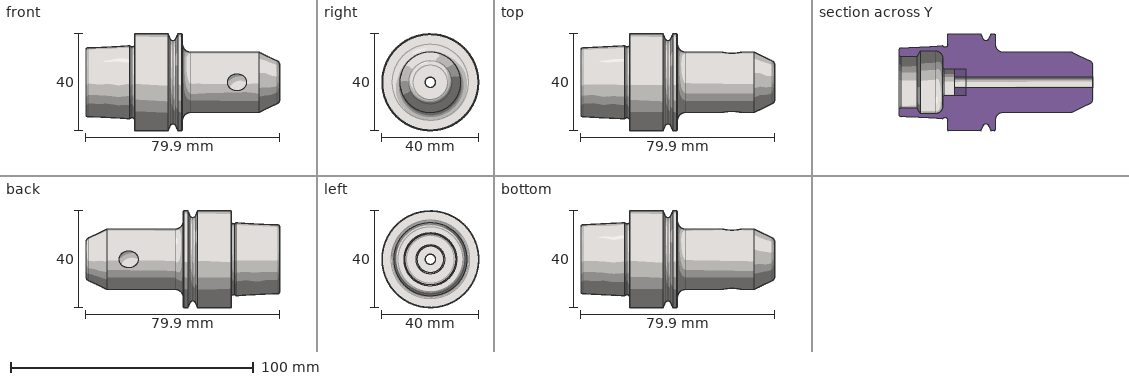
import cadquery as cq
import math

length = 79.9
flange_diameter = 40.0
flange_radius = flange_diameter / 2

taper_big_radius = 15.1
taper_end_x = 18.0
taper_slope = 0.05
taper_edge_round = 0.9

relief_radius = 14.7
relief_start_x = 18.6
relief_round = 0.8
face_recess_radius = 16.2
face_recess_inner_radius = 15.7
face_recess_depth = 0.1

flange_start_x = 20.0
flange_end_x = 39.9
back_rim_chamfer = 0.2
front_rim_chamfer = 0.4
groove_center_x = 35.9
groove_half_width = 2.0
groove_bottom_half_width = 0.8
groove_bottom_radius = 17.25
groove_fillet = 0.95

neck_diameter = 25.0
neck_radius = neck_diameter / 2
neck_fillet = 3.2
nose_start_x = 71.3
nose_slope_angle = 25.8
nose_end_radius = neck_radius - (length - nose_start_x) * math.tan(math.radians(nose_slope_angle))
nose_round = 2.0

bore_radius = 10.5
bore_chamfer_radius = 10.95
bore_chamfer_length = 0.95
bore_lip_length = 7.5
undercut_radius = 12.8
undercut_slope_angle = 60.0
bore_depth = 18.05
bore_floor_round = 2.95

seat_radius = 5.4
seat_chamfer = 0.55
seat_depth = 9.6
seat_end_x = bore_depth + seat_depth
plug_length = 4.8
coolant_radius = 2.1

dimple_x = 62.25
dimple_length = 8.0
dimple_ball_radius = 5.75


def revolve_about_x(profile):
    """Turn a closed profile, drawn as (x, radius), about the X axis."""
    return profile.close().revolve(360, (0, 0, 0), (1, 0, 0))


def cylinder_along_x(radius, start_x, end_x):
    """Solid cylinder centred on the X axis between two X positions."""
    return cq.Workplane("YZ").workplane(offset=start_x).circle(radius).extrude(end_x - start_x)


def outer_body():
    """Taper, flange and neck as one turned blank with sharp rims."""
    taper_end_radius = taper_big_radius - taper_slope * taper_end_x
    recess_floor_x = flange_start_x + face_recess_depth
    return revolve_about_x(
        cq.Workplane("XY")
        .lineTo(0, taper_end_radius)
        .lineTo(taper_end_x, taper_big_radius)
        .lineTo(relief_start_x, relief_radius)
        .lineTo(recess_floor_x, relief_radius)
        .lineTo(recess_floor_x, face_recess_inner_radius)
        .lineTo(flange_start_x, face_recess_radius)
        .lineTo(flange_start_x, flange_radius)
        .lineTo(flange_end_x, flange_radius)
        .lineTo(flange_end_x, neck_radius)
        .lineTo(nose_start_x, neck_radius)
        .lineTo(length, nose_end_radius)
        .lineTo(length, 0)
    )


def rim(x, radius):
    """Selector box around a whole circular edge at the given X and radius."""
    margin = 0.04
    reach = radius + margin
    return cq.selectors.BoxSelector(
        (x - margin, -reach, -reach), (x + margin, reach, reach), boundingbox=True
    )


def finish_rims(blank):
    """Round the taper end, relief corner, neck root and nose; chamfer the flange rims."""
    blank = blank.edges(rim(0, taper_big_radius)).fillet(taper_edge_round)
    blank = blank.edges(rim(flange_start_x + face_recess_depth, relief_radius)).fillet(relief_round)
    blank = blank.edges(rim(flange_end_x, neck_radius)).fillet(neck_fillet)
    blank = blank.edges(rim(length, nose_end_radius)).fillet(nose_round)
    for x, chamfer in ((flange_start_x, back_rim_chamfer), (flange_end_x, front_rim_chamfer)):
        outermost = blank.edges(rim(x, flange_radius)).edges(cq.selectors.RadiusNthSelector(-1))
        blank = outermost.chamfer(chamfer)
    return blank


def gripper_groove():
    """V-groove around the flange with rounded bottom corners."""
    groove = revolve_about_x(
        cq.Workplane("XY")
        .moveTo(groove_center_x - groove_half_width, flange_radius)
        .lineTo(groove_center_x - groove_bottom_half_width, groove_bottom_radius)
        .lineTo(groove_center_x + groove_bottom_half_width, groove_bottom_radius)
        .lineTo(groove_center_x + groove_half_width, flange_radius)
    )
    ring = cylinder_along_x(
        flange_radius, groove_center_x - groove_half_width, groove_center_x + groove_half_width
    )
    core = ring.cut(groove)
    for side in (-1, 1):
        corner_x = groove_center_x + side * groove_bottom_half_width
        core = core.edges(rim(corner_x, groove_bottom_radius)).fillet(groove_fillet)
    return ring.cut(core)


def clamping_bore():
    """Chamfered mouth, straight lip, conical undercut and rounded floor."""
    undercut_run = (undercut_radius - bore_radius) / math.tan(math.radians(undercut_slope_angle))
    bore = revolve_about_x(
        cq.Workplane("XY")
        .lineTo(0, bore_chamfer_radius)
        .lineTo(bore_chamfer_length, bore_radius)
        .lineTo(bore_lip_length, bore_radius)
        .lineTo(bore_lip_length + undercut_run, undercut_radius)
        .lineTo(bore_depth, undercut_radius)
        .lineTo(bore_depth, 0)
    )
    return bore.faces(">X").edges().fillet(bore_floor_round)


def plug_seat():
    """Chamfered seat for the plug, opening from the bore floor."""
    return revolve_about_x(
        cq.Workplane("XY")
        .moveTo(bore_depth, 0)
        .lineTo(bore_depth, seat_radius + seat_chamfer)
        .lineTo(bore_depth + seat_chamfer, seat_radius)
        .lineTo(seat_end_x, seat_radius)
        .lineTo(seat_end_x, 0)
    )


def side_dimples():
    """Balls whose caps cut a dimple into the -Y and +Y sides of the neck."""
    ball_offset = neck_radius + math.sqrt(dimple_ball_radius**2 - (dimple_length / 2) ** 2)
    return (
        cq.Workplane("XY")
        .pushPoints([(dimple_x, -ball_offset), (dimple_x, ball_offset)])
        .sphere(dimple_ball_radius)
    )


def make_holder():
    holder = finish_rims(outer_body())
    holder = holder.cut(gripper_groove())
    holder = holder.cut(clamping_bore())
    holder = holder.cut(plug_seat())
    holder = holder.cut(cylinder_along_x(coolant_radius, seat_end_x, length))
    return holder.cut(side_dimples())


def make_plug():
    """Pierced disc filling the far end of its seat."""
    plug_start_x = seat_end_x - plug_length
    disc = cylinder_along_x(seat_radius, plug_start_x, seat_end_x)
    return disc.cut(cylinder_along_x(coolant_radius, plug_start_x, seat_end_x))


holder = make_holder()
plug = make_plug()
result = cq.Compound.makeCompound([holder.val(), plug.val()])